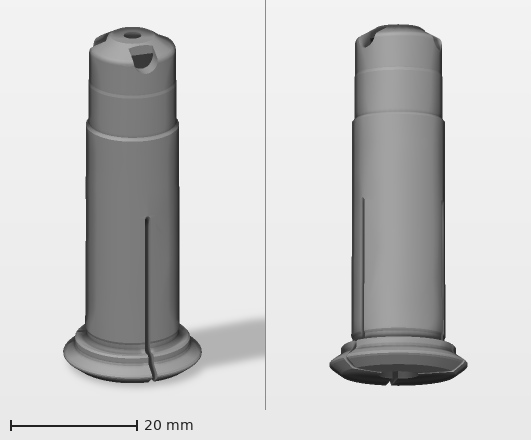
import cadquery as cq
import math

HEIGHT = 56.0
TOP_R = 3.5
HEAD_R = 6.9
SHOULDER_R = 7.0
BODY_TOP_R = 7.4
BODY_BASE_R = 7.5
NECK_R = 7.35
COLLAR_R = 9.1
FLANGE_R = 22.0 / 2

NOSE_ANGLE = math.radians(30)
NOSE_BLEND_R = 1.0

HEAD_BASE_Z = 48.5
SHOULDER_TOP_Z = 48.0
SHOULDER_BASE_Z = 41.3
BODY_TOP_Z = 40.75
BODY_BASE_Z = 6.2
NECK_TOP_Z = 5.8
COLLAR_TOP_Z = 4.55
COLLAR_FOOT_Z = 3.35
COLLAR_BASE_Z = 3.0
FLANGE_UPPER_Z = 2.0
FLANGE_LOWER_Z = 1.25
RIM_UPPER_Z = 1.75
RIM_LOWER_Z = 1.5

NECK_FLARE = 0.8
NECK_FLARE_HEIGHT = 0.5
COLLAR_CHAMFER = 0.3
COLLAR_FOOT_FLARE = 0.15
RIM_INSET = 0.2

TOP_HOLE_R = 1.4
BORE_R = 3.165
CAVITY_R = 4.6
CAVITY_TOP_Z = 54.2
CAVITY_FLOOR_Z = SHOULDER_BASE_Z

REPEATS = 3
CUT_LENGTH = FLANGE_R + 0.55
NOTCH_R = 2.0
NOTCH_BOTTOM_Z = 52.1
NOTCH_INNER_R = 3.9
SLIT_WIDTH = 0.9
SLIT_TOP_Z = 27.9
SLIT_END_ANGLE = math.radians(45)


def revolved_body():
    blend_drop = NOSE_BLEND_R * math.cos(NOSE_ANGLE)
    blend_top_r = HEAD_R - NOSE_BLEND_R * (1 - math.sin(NOSE_ANGLE))
    blend_top_z = HEIGHT - (blend_top_r - TOP_R) * math.tan(NOSE_ANGLE)
    blend_base_z = blend_top_z - blend_drop
    blend_mid_angle = (math.pi / 2 - NOSE_ANGLE) / 2
    blend_mid = (
        HEAD_R - NOSE_BLEND_R * (1 - math.cos(blend_mid_angle)),
        blend_base_z + NOSE_BLEND_R * math.sin(blend_mid_angle),
    )
    arc_inset = 1 - math.sqrt(0.5)

    profile = (
        cq.Workplane("XZ")
        .lineTo(COLLAR_R, 0)
        .lineTo(FLANGE_R - RIM_INSET, FLANGE_LOWER_Z)
        .lineTo(FLANGE_R, RIM_LOWER_Z)
        .lineTo(FLANGE_R, RIM_UPPER_Z)
        .lineTo(FLANGE_R - RIM_INSET, FLANGE_UPPER_Z)
        .lineTo(COLLAR_R + COLLAR_FOOT_FLARE, COLLAR_BASE_Z)
        .lineTo(COLLAR_R, COLLAR_FOOT_Z)
        .lineTo(COLLAR_R, COLLAR_TOP_Z - COLLAR_CHAMFER)
        .lineTo(COLLAR_R - COLLAR_CHAMFER, COLLAR_TOP_Z)
        .lineTo(NECK_R + NECK_FLARE, COLLAR_TOP_Z)
        .threePointArc(
            (NECK_R + NECK_FLARE * arc_inset, COLLAR_TOP_Z + NECK_FLARE_HEIGHT * arc_inset),
            (NECK_R, COLLAR_TOP_Z + NECK_FLARE_HEIGHT),
        )
        .lineTo(NECK_R, NECK_TOP_Z)
        .lineTo(BODY_BASE_R, BODY_BASE_Z)
        .lineTo(BODY_TOP_R, BODY_TOP_Z)
        .lineTo(SHOULDER_R, SHOULDER_BASE_Z)
        .lineTo(SHOULDER_R, SHOULDER_TOP_Z)
        .lineTo(HEAD_R, HEAD_BASE_Z)
        .lineTo(HEAD_R, blend_base_z)
        .threePointArc(blend_mid, (blend_top_r, blend_top_z))
        .lineTo(TOP_R, HEIGHT)
        .lineTo(0, HEIGHT)
        .close()
    )
    return profile.revolve(360, (0, 0, 0), (0, 1, 0))


def bores():
    main_bore = cq.Workplane("XY").circle(BORE_R).extrude(CAVITY_TOP_Z)
    cavity = (
        cq.Workplane("XY", origin=(0, 0, CAVITY_FLOOR_Z))
        .circle(CAVITY_R)
        .extrude(CAVITY_TOP_Z - CAVITY_FLOOR_Z)
    )
    top_hole = cq.Workplane("XY").circle(TOP_HOLE_R).extrude(HEIGHT)
    return main_bore.union(cavity).union(top_hole)


def notch_cutter():
    """U-shaped cut along +X with a half-round floor, open at the top."""
    round_z = NOTCH_BOTTOM_Z + NOTCH_R
    return (
        cq.Workplane("YZ", origin=(NOTCH_INNER_R, 0, 0))
        .moveTo(-NOTCH_R, HEIGHT)
        .lineTo(-NOTCH_R, round_z)
        .threePointArc((0, NOTCH_BOTTOM_Z), (NOTCH_R, round_z))
        .lineTo(NOTCH_R, HEIGHT)
        .close()
        .extrude(CUT_LENGTH)
    )


def slit_cutter():
    """Thin cut along +X whose half-round upper end slopes down towards the axis."""
    half_width = SLIT_WIDTH / 2
    slope = math.tan(SLIT_END_ANGLE)
    outer_z = SLIT_TOP_Z - half_width / math.cos(SLIT_END_ANGLE)
    inner_z = outer_z - BODY_BASE_R * slope
    far_z = inner_z + CUT_LENGTH * slope
    plate = (
        cq.Workplane("XZ")
        .lineTo(CUT_LENGTH, 0)
        .lineTo(CUT_LENGTH, far_z)
        .lineTo(0, inner_z)
        .close()
        .extrude(half_width, both=True)
    )
    rounded_end = cq.Workplane(
        cq.Solid.makeCylinder(
            half_width,
            CUT_LENGTH / math.cos(SLIT_END_ANGLE),
            cq.Vector(0, 0, inner_z),
            cq.Vector(math.cos(SLIT_END_ANGLE), 0, math.sin(SLIT_END_ANGLE)),
        )
    )
    return plate.union(rounded_end)


result = revolved_body().cut(bores())
cutters = (notch_cutter(), slit_cutter())
for index in range(REPEATS):
    angle = index * 360 / REPEATS
    for cutter in cutters:
        result = result.cut(cutter.rotate((0, 0, 0), (0, 0, 1), angle))